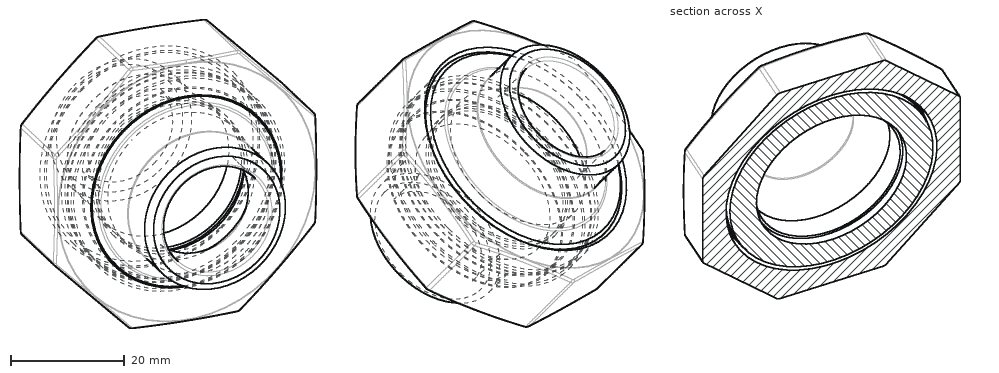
import cadquery as cq
import math


TOTAL_LENGTH = 45.0
NUT_ACROSS_FLATS = 50.0
NUT_WIDTH = 17.0
END_X = TOTAL_LENGTH / 2
NUT_FACE_X = NUT_WIDTH / 2

NUT_SIDES = 8
NUT_CORNER_RADIUS = 1.0
NUT_FACE_DIAMETER = 49.1
NUT_BEVEL_ANGLE = 15.0
NUT_RIM_FILLET = 0.5
THREAD_DIAMETER = 40.8
THREAD_MOUTH_DIAMETER = 42.0
NUT_HOLE_DIAMETER = 36.5
NUT_LIP_THICKNESS = 4.0

BORE_DIAMETER = 20.0
PIPE_DIAMETER = 26.9
PIPE_LENGTH = 8.5
FLARE_ANGLE = 30.0
FLARE_FILLET = 0.5
WELD_BEVEL_DEPTH = 0.8
WELD_BEVEL_ANGLE = 60.0
BORE_EDGE_FILLET = 0.5
INNER_FLARE_DIAMETER = 28.0
INNER_FLARE_DEPTH = 9.7
THREADED_END_DIAMETER = 39.5
SHOULDER_DIAMETER = 36.0
COLLAR_DIAMETER = 39.85

GASKET_BORE_DIAMETER = 29.0
GASKET_DIAMETER = 39.5
GASKET_THICKNESS = 1.5

SELECT_TOLERANCE = 0.05

GASKET_START_X = 0.0
GASKET_END_X = GASKET_START_X + GASKET_THICKNESS
COLLAR_END_X = NUT_FACE_X - NUT_LIP_THICKNESS


def rise(length, angle):
    """Radial growth of a cone along an axial length, angle measured from the axis."""
    return length * math.tan(math.radians(angle))


def revolve_about_x(points):
    """Solid of revolution about X from (x, radius) points."""
    return cq.Workplane("XZ").polyline(points).close().revolve(360, (0, 0, 0), (1, 0, 0))


def circle_at(x, radius):
    """Selector for the circular edges at a given X whose radius is at most the given one."""
    reach = radius + SELECT_TOLERANCE
    low = (x - SELECT_TOLERANCE, -reach, -reach)
    high = (x + SELECT_TOLERANCE, reach, reach)
    return cq.selectors.BoxSelector(low, high, boundingbox=True)


def spigot(inner_face_x, collar_points):
    """Weld spigot pointing to -X; collar_points outline its wide end, from the shoulder face inwards."""
    bore = BORE_DIAMETER / 2
    pipe = PIPE_DIAMETER / 2
    flared_bore = INNER_FLARE_DIAMETER / 2
    flare_start_x = -END_X + PIPE_LENGTH
    inner_flare_start_x = -END_X + INNER_FLARE_DEPTH
    inner_flare_end_x = inner_flare_start_x + (flared_bore - bore) / rise(1, FLARE_ANGLE)
    flare_end = pipe + rise(-NUT_FACE_X - flare_start_x, FLARE_ANGLE)
    body = revolve_about_x([
        (-END_X, bore),
        (-END_X, pipe - rise(WELD_BEVEL_DEPTH, WELD_BEVEL_ANGLE)),
        (-END_X + WELD_BEVEL_DEPTH, pipe),
        (flare_start_x, pipe),
        (-NUT_FACE_X, flare_end),
        *collar_points,
        (inner_face_x, flared_bore),
        (inner_flare_end_x, flared_bore),
        (inner_flare_start_x, bore),
    ])
    for x, radius, fillet in (
        (flare_start_x, pipe, FLARE_FILLET),
        (-NUT_FACE_X, flare_end, FLARE_FILLET),
        (inner_flare_start_x, bore, FLARE_FILLET),
        (-END_X, bore, BORE_EDGE_FILLET),
    ):
        body = body.edges(circle_at(x, radius)).fillet(fillet)
    return body


def threaded_spigot():
    """Spigot whose wide end screws into the nut, with a 45 degree lead chamfer at its shoulder."""
    face = THREADED_END_DIAMETER / 2
    thread = THREAD_DIAMETER / 2
    return spigot(GASKET_START_X, [
        (-NUT_FACE_X, face),
        (-NUT_FACE_X + thread - face, thread),
        (GASKET_START_X, thread),
    ])


def collar_spigot():
    """Spigot held behind the lip of the nut by a collar, pointing to +X."""
    shoulder = SHOULDER_DIAMETER / 2
    collar = COLLAR_DIAMETER / 2
    body = spigot(-GASKET_END_X, [
        (-NUT_FACE_X, shoulder),
        (-COLLAR_END_X, shoulder),
        (-COLLAR_END_X, collar),
        (-GASKET_END_X, collar),
    ])
    return body.mirror("YZ")


def union_nut():
    """Octagonal nut with rounded corners, bevelled ends, a threaded mouth and a retaining lip."""
    half_step = math.pi / NUT_SIDES
    corner = NUT_ACROSS_FLATS / 2 / math.cos(half_step)
    corner_angles = [(2 * i + 1) * half_step for i in range(NUT_SIDES)]
    prism = (
        cq.Workplane("YZ", origin=(-NUT_FACE_X, 0, 0))
        .polyline([(corner * math.cos(angle), corner * math.sin(angle)) for angle in corner_angles])
        .close()
        .extrude(NUT_WIDTH)
        .edges("|X")
        .fillet(NUT_CORNER_RADIUS)
    )
    face = NUT_FACE_DIAMETER / 2
    bevel_depth = (corner - face) * math.tan(math.radians(NUT_BEVEL_ANGLE))
    bevel_envelope = revolve_about_x([
        (-NUT_FACE_X, 0),
        (-NUT_FACE_X, face),
        (-NUT_FACE_X + bevel_depth, corner),
        (NUT_FACE_X - bevel_depth, corner),
        (NUT_FACE_X, face),
        (NUT_FACE_X, 0),
    ])
    blank = prism.intersect(bevel_envelope)
    blank = blank.faces("%CONE").edges().fillet(NUT_RIM_FILLET)

    mouth = THREAD_MOUTH_DIAMETER / 2
    thread = THREAD_DIAMETER / 2
    hole = NUT_HOLE_DIAMETER / 2
    cavity = revolve_about_x([
        (-NUT_FACE_X, 0),
        (-NUT_FACE_X, mouth),
        (-NUT_FACE_X + mouth - thread, thread),
        (COLLAR_END_X, thread),
        (COLLAR_END_X, hole),
        (NUT_FACE_X, hole),
        (NUT_FACE_X, 0),
    ])
    return blank.cut(cavity)


def flat_gasket():
    """Flat sealing ring between the two spigots."""
    return (
        cq.Workplane("YZ", origin=(GASKET_START_X, 0, 0))
        .circle(GASKET_DIAMETER / 2)
        .circle(GASKET_BORE_DIAMETER / 2)
        .extrude(GASKET_THICKNESS)
    )


threaded_body = threaded_spigot()
collar_body = collar_spigot()
nut = union_nut()
gasket = flat_gasket()

result = cq.Compound.makeCompound([
    threaded_body.solids().val(),
    collar_body.solids().val(),
    nut.solids().val(),
    gasket.solids().val(),
])